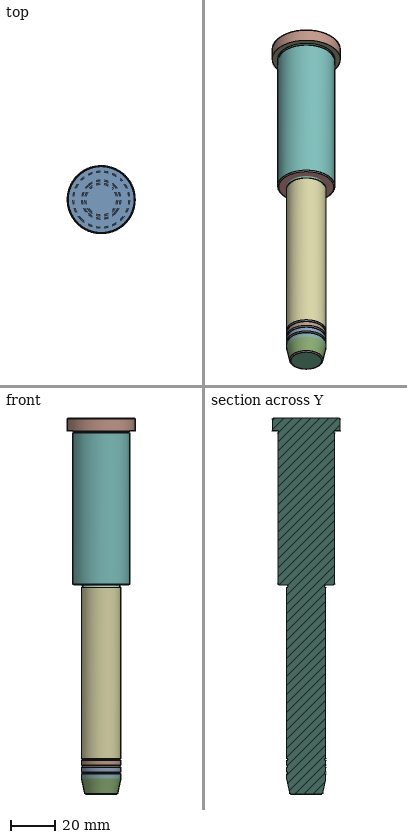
import cadquery as cq

total_length = 171.0
head_diameter = 31.0
head_height = 6.0
body_diameter = 26.0
body_length = 70.0
shank_diameter = 18.0
edge_chamfer = 0.5

tip_height = 7.0
tip_diameter = 14.9

groove_depth = 0.5
ring_count = 3
ring_pitch = 3.0
lowest_ring_height = 9.7

head_bottom = total_length - head_height
body_bottom = head_bottom - body_length


def cylinder(diameter, bottom, top):
    """Solid cylinder on the Z axis."""
    return cq.Workplane("XY").workplane(offset=bottom).circle(diameter / 2).extrude(top - bottom)


def round_groove(diameter, height):
    """Ring of round section, centred on the surface of a cylinder of the given diameter."""
    return cq.Workplane(cq.Solid.makeTorus(diameter / 2, groove_depth, cq.Vector(0, 0, height)))


def vee_groove(diameter, height):
    """Ring of diamond section, centred on the surface of a cylinder of the given diameter."""
    radius = diameter / 2
    section = [
        (radius - groove_depth, height),
        (radius, height + groove_depth),
        (radius + groove_depth, height),
        (radius, height - groove_depth),
    ]
    return cq.Workplane("XZ").polyline(section).close().revolve(360, (0, 0, 0), (0, 1, 0))


head = cylinder(head_diameter, head_bottom, total_length).faces(">Z").chamfer(edge_chamfer)

body = cylinder(body_diameter, body_bottom, head_bottom).faces("<Z").chamfer(edge_chamfer)
body = body.cut(vee_groove(body_diameter, head_bottom - groove_depth))

shank = cylinder(shank_diameter, tip_height, body_bottom)
shank = shank.cut(round_groove(shank_diameter, body_bottom - groove_depth))
for index in range(ring_count):
    shank = shank.cut(vee_groove(shank_diameter, lowest_ring_height + index * ring_pitch))

tip = (
    cq.Workplane("XY")
    .circle(tip_diameter / 2)
    .workplane(offset=tip_height)
    .circle(shank_diameter / 2)
    .loft()
    .faces("<Z")
    .chamfer(edge_chamfer)
)

result = head.union(body).union(shank).union(tip)